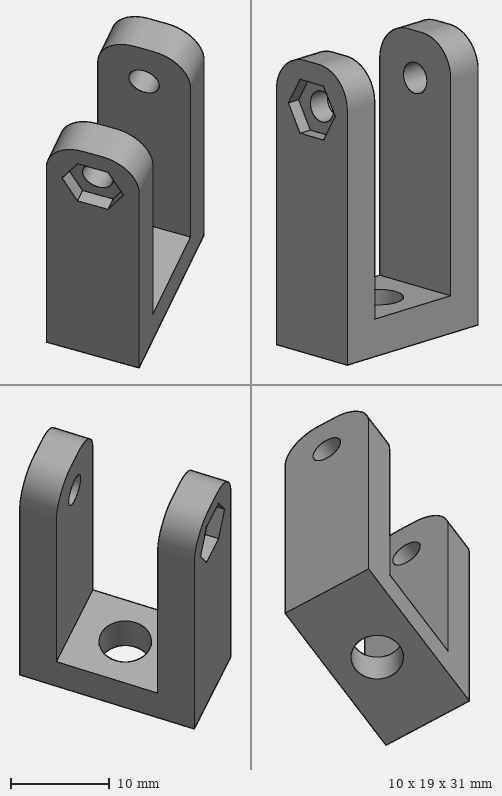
import cadquery as cq

width = 10.0
depth = 19.0
height = 31.0

wall = 4.0
corner_radius = wall

pin_diameter = 3.3
pin_height = height - width / 2

nut_corner_width = 6.6
nut_depth = 1.5

mount_diameter = 5.3


def fork_body():
    """U-shaped fork standing on Z = 0, with rounded upper arm corners."""
    block = cq.Workplane("XY").box(width, depth, height, centered=(True, True, False))
    block = block.edges("|Y and >Z").fillet(corner_radius)
    gap = (
        cq.Workplane("XY")
        .workplane(offset=wall)
        .rect(width, depth - 2 * wall)
        .extrude(height - wall)
    )
    return block.cut(gap)


def front_face_plane():
    """Workplane on the -Y face at the pin axis, pointing into the part."""
    return cq.Workplane(
        cq.Plane(origin=(0, -depth / 2, pin_height), xDir=(1, 0, 0), normal=(0, 1, 0))
    )


pin_hole = front_face_plane().circle(pin_diameter / 2).extrude(depth)
nut_pocket = front_face_plane().polygon(6, nut_corner_width).extrude(nut_depth)
mount_hole = cq.Workplane("XY").circle(mount_diameter / 2).extrude(wall)

result = fork_body().cut(pin_hole).cut(nut_pocket).cut(mount_hole)